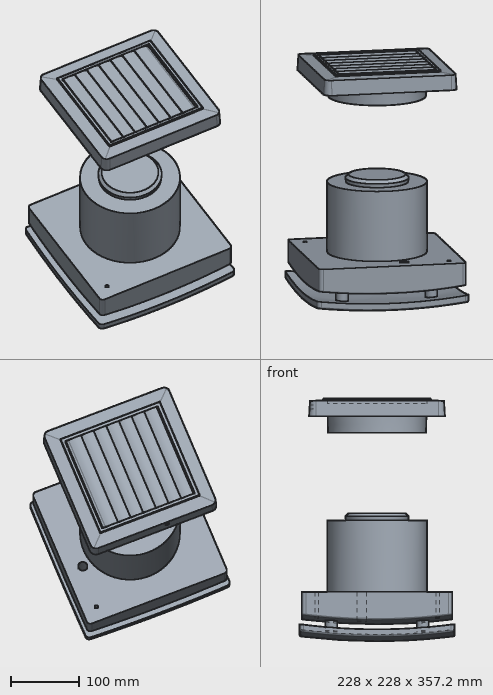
import cadquery as cq
import math

DOME_CENTRE_Z = 875.0
COVER_WIDTH = 228.0
COVER_THICKNESS = 10.5
COVER_GAP = 14.5
CASING_LOW_Z = COVER_THICKNESS + COVER_GAP
CASING_WIDTH = 221.5
CASING_TOP_Z = 73.0
CORNER_RADIUS = 5.7
COVER_FILLET = 2.5
CASING_FILLET = 1.8

POST_RADIUS = 9.0
POST_OFFSET = 67.0

BARREL_RADIUS = 73.5
BARREL_TOP_Z = 178.0
MOTOR_CAP_TOP_Z = 188.5
MOTOR_CAP_RADIUS = 46.8
MOTOR_CAP_FOOT_RADIUS = 46.0
MOTOR_CAP_CHAMFER = 5.0

SCREW_HOLE_RADIUS = 2.5
SCREW_HOLE_OFFSET = 89.0
CABLE_HOLE_RADIUS = 6.8
CABLE_HOLE_X = -23.0
CABLE_HOLE_Y = 84.0

GRILLE_TOP_Z = 357.2
FRAME_BOTTOM_Z = 330.8
FRAME_EDGE_Z = 353.3
FRAME_WIDTH = 200.0
FRAME_CORNER_RADIUS = 10.0
FRAME_DRAFT = 3.5
RIM_FOOT_Z = 354.7
RIM_WIDTH = 158.0
RIM_CHAMFER = 0.7
OPENING_WIDTH = 146.5
OPENING_DEPTH = 7.0

SLAT_COUNT = 7
SLAT_PITCH = 20.0
SLAT_END_GAP = 1.5
SLAT_TAIL = OPENING_WIDTH - 2 * SLAT_END_GAP - SLAT_COUNT * SLAT_PITCH
SLAT_CROWN_DEPTH = 0.5
SLAT_FRONT_SLOPE = 13.0
SLAT_BACK_SLOPE = 20.0
SLAT_TAIL_SLOPE = 15.0

SPIGOT_BOTTOM_Z = 306.5
SPIGOT_TOP_RADIUS = 73.0
SPIGOT_BOTTOM_RADIUS = 72.0

PIN_HOLE_RADIUS = 3.0
PIN_HOLE_DEPTH = 5.5
PIN_HOLE_Y = -19.3
PIN_HOLE_Z = 344.7


def square_block(width, bottom_z, top_z):
    return cq.Workplane("XY", origin=(0, 0, bottom_z)).rect(width, width).extrude(top_z - bottom_z)


def cylinder(radius, x, y, bottom_z, top_z):
    return cq.Workplane("XY", origin=(x, y, bottom_z)).circle(radius).extrude(top_z - bottom_z)


def dome(lowest_z):
    """Ball around the common dome centre that reaches down to lowest_z."""
    return cq.Workplane("XY", origin=(0, 0, DOME_CENTRE_Z)).sphere(DOME_CENTRE_Z - lowest_z)



def make_cover():
    blank = square_block(COVER_WIDTH, 0, CASING_TOP_Z).edges("|Z").fillet(CORNER_RADIUS)
    return blank.intersect(dome(0)).faces("<Z").edges().fillet(COVER_FILLET).cut(dome(COVER_THICKNESS))


def make_casing():
    blank = square_block(CASING_WIDTH, 0, CASING_TOP_Z).edges("|Z").fillet(CORNER_RADIUS)
    casing = blank.intersect(dome(CASING_LOW_Z)).faces("<Z").edges().fillet(CASING_FILLET)
    for side in (-1, 1):
        x = side * SCREW_HOLE_OFFSET
        casing = casing.cut(cylinder(SCREW_HOLE_RADIUS, x, -x, 0, CASING_TOP_Z))
    return casing.cut(cylinder(CABLE_HOLE_RADIUS, CABLE_HOLE_X, CABLE_HOLE_Y, 0, CASING_TOP_Z))


def make_post(x, y):
    """Spacer that runs from inside the cover plate to inside the casing."""
    return cylinder(POST_RADIUS, x, y, COVER_THICKNESS, (CASING_LOW_Z + CASING_TOP_Z) / 2)


def make_barrel():
    """Round duct section with the motor cap on its end, turned about Z."""
    cap_edge_z = MOTOR_CAP_TOP_Z - MOTOR_CAP_CHAMFER
    return (
        cq.Workplane("XZ")
        .moveTo(0, CASING_TOP_Z)
        .lineTo(BARREL_RADIUS, CASING_TOP_Z)
        .lineTo(BARREL_RADIUS, BARREL_TOP_Z)
        .lineTo(MOTOR_CAP_FOOT_RADIUS, BARREL_TOP_Z)
        .lineTo(MOTOR_CAP_RADIUS, cap_edge_z)
        .lineTo(MOTOR_CAP_RADIUS - MOTOR_CAP_CHAMFER, MOTOR_CAP_TOP_Z)
        .lineTo(0, MOTOR_CAP_TOP_Z)
        .close()
        .revolve(360, (0, 0), (0, 1))
    )


def make_fan_unit():
    unit = make_casing().union(make_barrel()).union(make_cover())
    for x in (-POST_OFFSET, POST_OFFSET):
        for y in (-POST_OFFSET, POST_OFFSET):
            unit = unit.union(make_post(x, y))
    return unit


def make_frame():
    """Drafted frame with a shallow mitred top and a raised rim around the opening."""
    edge_width = FRAME_WIDTH - 2 * (FRAME_EDGE_Z - FRAME_BOTTOM_Z) * math.tan(math.radians(FRAME_DRAFT))
    mitre_angle = math.degrees(math.atan2((edge_width - RIM_WIDTH) / 2, RIM_FOOT_Z - FRAME_EDGE_Z))
    body = (
        cq.Workplane("XY", origin=(0, 0, FRAME_BOTTOM_Z))
        .sketch()
        .rect(FRAME_WIDTH, FRAME_WIDTH)
        .vertices()
        .fillet(FRAME_CORNER_RADIUS)
        .finalize()
        .extrude(RIM_FOOT_Z - FRAME_BOTTOM_Z, taper=FRAME_DRAFT)
    )
    mitred_top = (
        cq.Workplane("XY", origin=(0, 0, FRAME_EDGE_Z))
        .rect(edge_width, edge_width)
        .extrude(RIM_FOOT_Z - FRAME_EDGE_Z, taper=mitre_angle)
    )
    envelope = square_block(FRAME_WIDTH, FRAME_BOTTOM_Z, FRAME_EDGE_Z).union(mitred_top)
    rim = square_block(RIM_WIDTH, FRAME_EDGE_Z, GRILLE_TOP_Z).faces(">Z").edges().chamfer(RIM_CHAMFER)
    opening = square_block(OPENING_WIDTH, GRILLE_TOP_Z - OPENING_DEPTH, GRILLE_TOP_Z)
    return body.intersect(envelope).union(rim).cut(opening)


def make_slat(front_y):
    """Slat with a crowned top: steep at the back, with a straight tail under the next slat."""
    crown_z = GRILLE_TOP_Z - SLAT_CROWN_DEPTH
    front = math.radians(SLAT_FRONT_SLOPE)
    back = math.radians(SLAT_BACK_SLOPE)
    crown_radius = SLAT_PITCH / (math.sin(front) + math.sin(back))
    crown_y = front_y + crown_radius * math.sin(front)
    centre_z = crown_z - crown_radius
    back_y = front_y + SLAT_PITCH
    back_z = centre_z + crown_radius * math.cos(back)
    tail_y = back_y + SLAT_TAIL
    floor_z = GRILLE_TOP_Z - OPENING_DEPTH
    return (
        cq.Workplane("YZ", origin=(-OPENING_WIDTH / 2, 0, 0))
        .moveTo(front_y, floor_z)
        .lineTo(front_y, centre_z + crown_radius * math.cos(front))
        .threePointArc((crown_y, crown_z), (back_y, back_z))
        .lineTo(tail_y, back_z - SLAT_TAIL * math.tan(math.radians(SLAT_TAIL_SLOPE)))
        .lineTo(tail_y, floor_z)
        .close()
        .extrude(OPENING_WIDTH)
    )


def make_spigot():
    return (
        cq.Workplane("XZ")
        .moveTo(0, SPIGOT_BOTTOM_Z)
        .lineTo(SPIGOT_BOTTOM_RADIUS, SPIGOT_BOTTOM_Z)
        .lineTo(SPIGOT_TOP_RADIUS, FRAME_BOTTOM_Z)
        .lineTo(0, FRAME_BOTTOM_Z)
        .close()
        .revolve(360, (0, 0), (0, 1))
    )


def make_grille():
    grille = make_frame().union(make_spigot())
    first_front_y = SLAT_END_GAP - OPENING_WIDTH / 2
    for index in range(SLAT_COUNT):
        grille = grille.union(make_slat(first_front_y + index * SLAT_PITCH))
    pin_hole = (
        cq.Workplane("YZ", origin=(-FRAME_WIDTH / 2, PIN_HOLE_Y, PIN_HOLE_Z))
        .circle(PIN_HOLE_RADIUS)
        .extrude(PIN_HOLE_DEPTH)
    )
    return grille.cut(pin_hole)


fan_unit = make_fan_unit()
grille = make_grille()
result = cq.Compound.makeCompound([fan_unit.val(), grille.val()])